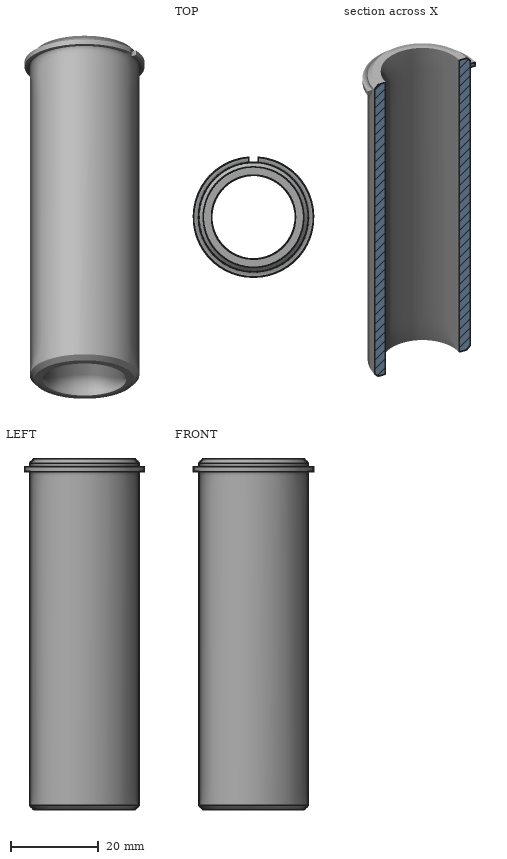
import cadquery as cq

sleeve_length = 80.0
sleeve_diameter = 25.0
bore_diameter = 19.0
end_chamfer = 1.0

ring_diameter = 27.4
ring_thickness = 1.1
ring_top_drop = 1.8
ring_gap = 2.2
ring_bottom = sleeve_length - ring_top_drop - ring_thickness


def make_sleeve():
    """Tube with a through bore and chamfered outer edges at both ends."""
    body = cq.Workplane("XY").circle(sleeve_diameter / 2).extrude(sleeve_length)
    body = body.faces("<Z or >Z").edges().chamfer(end_chamfer)
    bore = cq.Workplane("XY").circle(bore_diameter / 2).extrude(sleeve_length)
    return body.cut(bore)


def make_ring():
    """Flat ring that fits the sleeve, split by a parallel-sided gap on the +Y side."""
    ring = (
        cq.Workplane("XY", origin=(0, 0, ring_bottom))
        .circle(ring_diameter / 2)
        .circle(sleeve_diameter / 2)
        .extrude(ring_thickness)
    )
    gap = (
        cq.Workplane("XY", origin=(0, 0, ring_bottom))
        .box(ring_gap, ring_diameter / 2, ring_thickness, centered=(True, False, False))
    )
    return ring.cut(gap)


sleeve = make_sleeve()
retaining_ring = make_ring()

result = cq.Compound.makeCompound([sleeve.val(), retaining_ring.val()])